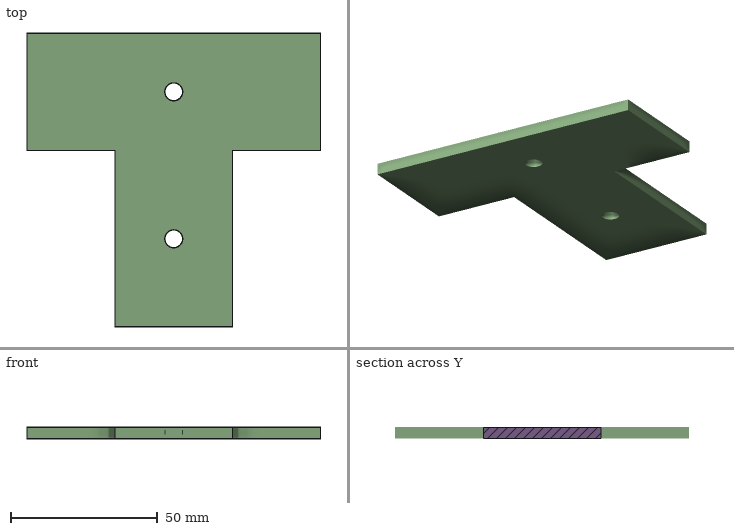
import cadquery as cq

length = 100.0
thickness = 4.0
arm_width = 40.0
stem_length = length - arm_width

hole_diameter = 6.0
hole_spacing = 50.0
crossbar_center_y = (length - arm_width) / 2
stem_center_y = -arm_width / 2
hole_centers = [
    (0, crossbar_center_y),
    (0, crossbar_center_y - hole_spacing),
]

crossbar = (
    cq.Workplane("XY")
    .center(0, crossbar_center_y)
    .rect(length, arm_width)
    .extrude(thickness)
)
stem = (
    cq.Workplane("XY")
    .center(0, stem_center_y)
    .rect(arm_width, stem_length)
    .extrude(thickness)
)
plate = crossbar.union(stem)

holes = (
    cq.Workplane("XY")
    .pushPoints(hole_centers)
    .circle(hole_diameter / 2)
    .extrude(thickness)
)

result = plate.cut(holes)